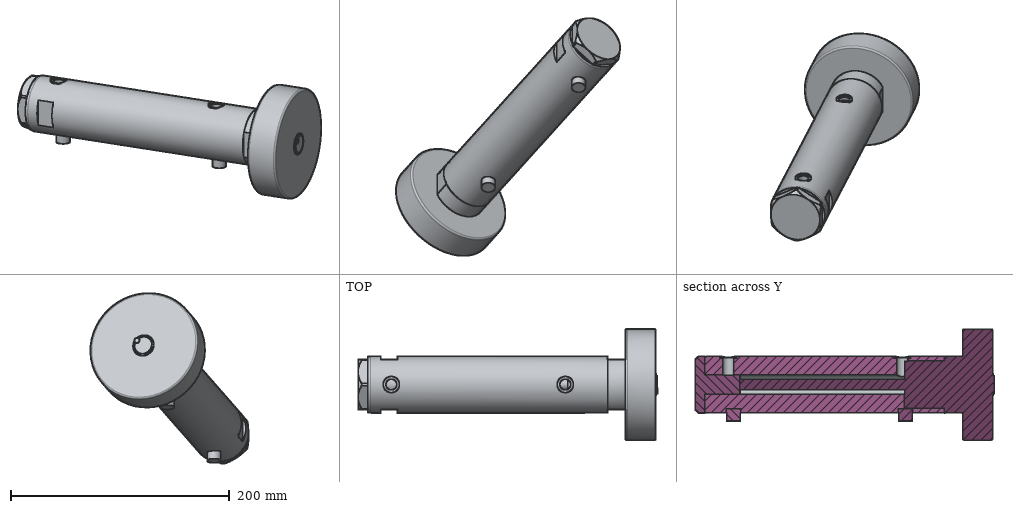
import cadquery as cq
import math

total_length = 274.5
head_length = 8.8
tube_end = 228.3
flange_start = 244.5
flange_end = 272.5

flange_radius = 102.0 / 2
flange_rim_radius = 1.6
shaft_radius = 26.0
across_flats = 46.0

head_chamfer_length = 3.3
head_face_radius = across_flats / 2

tube_chamfer_length = 2.5
tube_chamfer_depth = 0.5
wrench_flat_start = 20.9
wrench_flat_end = 36.0

port_positions = (30.5, 189.5)
port_radius = 5.0
port_seat_radius = 7.5
port_seat_depth = 1.6

clearance = 2.7

bore_radius = 8.8
flange_spigot_radius = 21.5
rod_radius = 5.0
plug_spigot_end = 41.2
flange_spigot_start = 191.8

pin_positions = (35.0, 192.5)
pin_radius = 6.3
pin_bottom = -33.5
pin_top = -22.5

boss_radius = 10.0
boss_top_radius = 8.2
boss_base_end = 273.0
boss_top_end = 273.9
boss_dot_radius = 2.5
boss_dot_y = -5.8
boss_dot_z = 5.0


def rod_along_x(radius, start, end):
    """Round bar on the X axis between two stations."""
    plane = cq.Plane(origin=(start, 0, 0), xDir=(0, 0, 1), normal=(1, 0, 0))
    return cq.Workplane(plane).circle(radius).extrude(end - start)


def rod_along_z(radius, x, bottom, top):
    """Vertical round bar in the plane Y = 0."""
    plane = cq.Plane(origin=(x, 0, bottom), xDir=(-1, 0, 0), normal=(0, 0, 1))
    return cq.Workplane(plane).circle(radius).extrude(top - bottom)


def between_flats(start, end):
    """Slab that leaves two wrench flats, facing -Y and +Y, between two stations."""
    length = end - start
    slab = cq.Workplane("XY").box(length, across_flats, 2 * (shaft_radius + clearance))
    return slab.translate((start + length / 2, 0, 0))


def make_tube():
    """Tube with a stepped bore, wrench flats, seated ports on top and sockets for the pins."""
    profile = [
        (head_length, 0),
        (head_length, shaft_radius - tube_chamfer_depth),
        (head_length + tube_chamfer_length, shaft_radius),
        (tube_end, shaft_radius),
        (tube_end, 0),
    ]
    tube = cq.Workplane("XZ").polyline(profile).close().revolve(360, (0, 0, 0), (1, 0, 0))

    flat_band = rod_along_x(shaft_radius + clearance, wrench_flat_start, wrench_flat_end)
    tube = tube.cut(flat_band.cut(between_flats(wrench_flat_start, wrench_flat_end)))
    tube = tube.cut(rod_along_x(bore_radius, head_length, tube_end))
    tube = tube.cut(rod_along_x(flange_spigot_radius, flange_spigot_start, tube_end))

    seat_floor = shaft_radius - port_seat_depth
    for x in port_positions:
        tube = tube.cut(rod_along_z(port_radius, x, 0, shaft_radius))
        tube = tube.cut(rod_along_z(port_seat_radius, x, seat_floor, shaft_radius))
    for x in pin_positions:
        tube = tube.cut(rod_along_z(pin_radius, x, -shaft_radius - clearance, pin_top))
    return tube


def make_hex_plug():
    """Hexagonal head with corners trimmed round and a spigot that fits the left end of the bore."""
    corner_diameter = across_flats / math.cos(math.pi / 6)
    head = (
        cq.Workplane("YZ")
        .polygon(6, corner_diameter)
        .extrude(head_length)
        .rotate((0, 0, 0), (1, 0, 0), 90)
    )
    envelope_profile = [
        (0, 0),
        (0, head_face_radius),
        (head_chamfer_length, shaft_radius),
        (head_length, shaft_radius),
        (head_length, 0),
    ]
    envelope = cq.Workplane("XZ").polyline(envelope_profile).close().revolve(360, (0, 0, 0), (1, 0, 0))
    spigot = rod_along_x(bore_radius, head_length, plug_spigot_end)
    return head.intersect(envelope).union(spigot)


def make_flange():
    """Flange with its flatted neck, the stepped core that enters the tube, and the end boss."""
    disc = rod_along_x(flange_radius, flange_start, flange_end).edges().fillet(flange_rim_radius)
    neck = rod_along_x(shaft_radius, tube_end, flange_start)
    neck = neck.intersect(between_flats(tube_end, flange_start))
    spigot = rod_along_x(flange_spigot_radius, flange_spigot_start, tube_end)
    rod = rod_along_x(rod_radius, plug_spigot_end, flange_spigot_start)

    boss_base = rod_along_x(boss_radius, flange_end, boss_base_end)
    boss_top = rod_along_x(boss_top_radius, boss_base_end, boss_top_end)
    dot = rod_along_x(boss_dot_radius, flange_end, total_length).translate((0, boss_dot_y, boss_dot_z))
    return disc.union(neck).union(spigot).union(rod).union(boss_base).union(boss_top).union(dot)


def make_pin(x):
    """Plain round pin standing out below the tube."""
    return rod_along_z(pin_radius, x, pin_bottom, pin_top)


tube = make_tube()
hex_plug = make_hex_plug()
flange = make_flange()
pins = [make_pin(x) for x in pin_positions]

result = cq.Compound.makeCompound(
    [tube.val(), hex_plug.val(), flange.val(), *[pin.val() for pin in pins]]
)